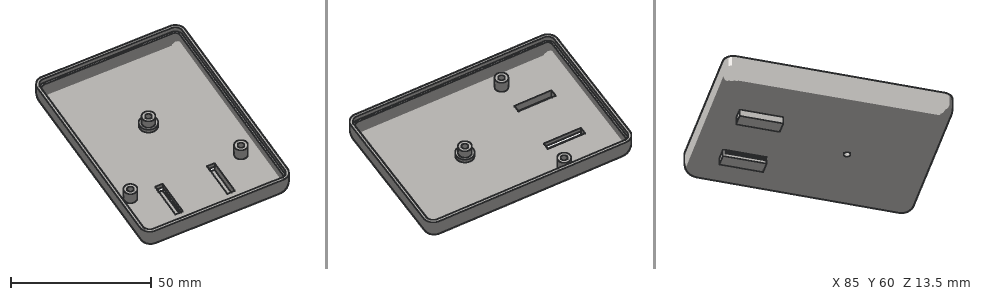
import cadquery as cq

length = 85.0
width = 60.0
body_height = 10.5
corner_radius = 4.0
bottom_radius = 6.0
wall = 2.0
floor = 1.95
cavity_bottom_radius = bottom_radius - wall

lip_wall = 1.2
lip_depth = 2.0

post_x = 17.4
post_y = 22.4
post_diameter = 5.0
post_height = 4.8
hole_diameter = 2.5

boss_x = -10.5
boss_base_diameter = 7.0
boss_base_height = 1.5
boss_diameter = 5.0
boss_height = 4.85

slot_start_x = 16.75
slot_length = 15.3
slot_inner_y = 9.0
slot_width = 3.1
hook_drop = 3.0
hook_pocket_depth = 1.5
hook_side_wall = 1.8
hook_end_wall = 0.85


def rounded_block(inset, bottom_z, top_z):
    """Block with rounded upright edges, inset from the tray outline."""
    return (
        cq.Workplane("XY")
        .workplane(offset=bottom_z)
        .rect(length - 2 * inset, width - 2 * inset)
        .extrude(top_z - bottom_z)
        .edges("|Z")
        .fillet(corner_radius - inset)
    )


def cylinder(x, y, diameter, bottom_z, top_z):
    return (
        cq.Workplane("XY")
        .workplane(offset=bottom_z)
        .center(x, y)
        .circle(diameter / 2)
        .extrude(top_z - bottom_z)
    )


def slot_block(side, size_x, size_y, bottom_z, top_z):
    """Block starting at the slot's inner -X corner and growing away from the XZ plane."""
    return (
        cq.Workplane("XY")
        .box(size_x, size_y, top_z - bottom_z, centered=(False, True, False))
        .translate((slot_start_x, side * (slot_inner_y + size_y / 2), bottom_z))
    )


def make_tray():
    outer = rounded_block(0, 0, body_height).faces("<Z").edges().fillet(bottom_radius)
    cavity = rounded_block(wall, floor, body_height).faces("<Z").edges().fillet(cavity_bottom_radius)
    rim_step = rounded_block(lip_wall, body_height - lip_depth, body_height)
    return outer.cut(cavity).cut(rim_step)


def add_post(tray, side):
    top_z = floor + post_height
    post = cylinder(post_x, side * post_y, post_diameter, floor / 2, top_z)
    hole = cylinder(post_x, side * post_y, hole_diameter, floor, top_z)
    return tray.union(post).cut(hole)


def add_boss(tray):
    top_z = floor + boss_height
    base = cylinder(boss_x, 0, boss_base_diameter, floor / 2, floor + boss_base_height)
    boss = cylinder(boss_x, 0, boss_diameter, floor / 2, top_z)
    hole = cylinder(boss_x, 0, hole_diameter, 0, top_z)
    return tray.union(base).union(boss).cut(hole)


def add_hook(tray, side):
    hook = slot_block(side, slot_length + hook_end_wall, slot_width + hook_side_wall, -hook_drop, 0)
    opening = slot_block(side, slot_length, slot_width, -hook_pocket_depth, floor)
    return tray.union(hook).cut(opening)


result = add_boss(make_tray())
for side in (-1, 1):
    result = add_post(result, side)
    result = add_hook(result, side)